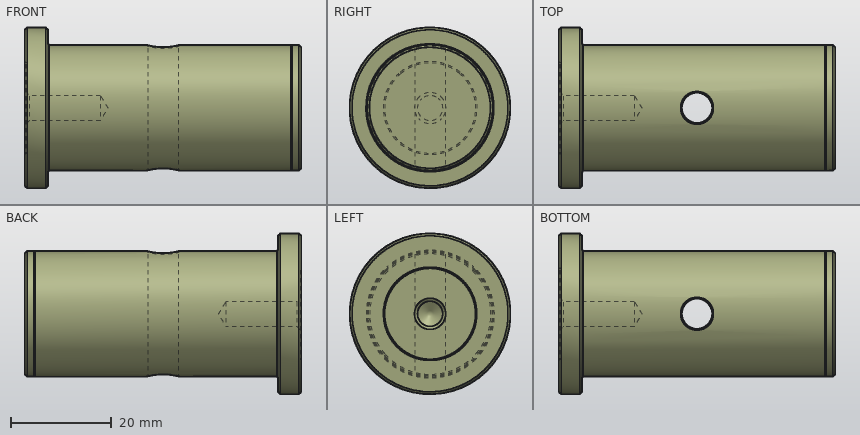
import cadquery as cq
import math

total_length = 55.0
flange_diameter = 32.0
flange_thickness = 4.7
shank_diameter = 25.0
edge_chamfer = 0.5

corner_size = 0.2

groove_start = 52.9
groove_width = 0.3
groove_depth = 0.2

recess_diameter = 18.6
recess_depth = 0.3

axial_hole_diameter = 5.0
axial_hole_depth = 15.0
axial_mouth_diameter = 6.2
drill_point_angle = 118

cross_hole_diameter = 6.0
cross_hole_chamfer = 0.3
cross_hole_position = total_length / 2


def disc(diameter, start, length):
    """Cylinder on the X axis, beginning at X = start."""
    return cq.Workplane("YZ", origin=(start, 0, 0)).circle(diameter / 2).extrude(length)


def make_ring_groove():
    """V-shaped ring groove, deepest in the middle of its width."""
    half_width = groove_width / 2
    floor_diameter = shank_diameter - 2 * groove_depth
    middle = groove_start + half_width
    ring = disc(shank_diameter, groove_start, groove_width)
    for direction in (1, -1):
        core = cone((middle, 0, 0), (direction, 0, 0), floor_diameter, shank_diameter, half_width)
        ring = ring.cut(core)
    return ring


def cone(origin, direction, start_diameter, end_diameter, height):
    """Cone (frustum if both diameters are above zero) growing along direction."""
    solid = cq.Solid.makeCone(
        start_diameter / 2, end_diameter / 2, height, cq.Vector(*origin), cq.Vector(*direction)
    )
    return cq.Workplane(solid)


def make_body():
    """Flange and shank with bevelled edges and a bevelled inside corner."""
    flange = disc(flange_diameter, 0, flange_thickness).edges().chamfer(edge_chamfer)
    shank = disc(shank_diameter, 0, total_length).faces(">X").edges().chamfer(edge_chamfer)
    corner = cone(
        (flange_thickness, 0, 0), (1, 0, 0), shank_diameter + 2 * corner_size, shank_diameter, corner_size
    )
    return flange.union(shank).union(corner)


def make_face_recess():
    """Shallow recess whose rim slopes inward at 45 degrees."""
    floor_diameter = recess_diameter - 2 * recess_depth
    return cone((0, 0, 0), (1, 0, 0), recess_diameter, floor_diameter, recess_depth)


def make_axial_hole():
    """Drilled hole with a conical bottom and a chamfered mouth on the recess floor."""
    mouth_depth = (axial_mouth_diameter - axial_hole_diameter) / 2
    point_height = axial_hole_diameter / 2 / math.tan(math.radians(drill_point_angle / 2))
    bore = disc(axial_hole_diameter, 0, axial_hole_depth)
    mouth = cone((recess_depth, 0, 0), (1, 0, 0), axial_mouth_diameter, axial_hole_diameter, mouth_depth)
    point = cone((axial_hole_depth, 0, 0), (1, 0, 0), axial_hole_diameter, 0, point_height)
    return bore.union(mouth).union(point)


def drill_cross_hole(body):
    """Vertical through hole with its rim broken on both sides of the shank."""
    hole = (
        cq.Workplane("XY", origin=(cross_hole_position, 0, -shank_diameter / 2))
        .circle(cross_hole_diameter / 2)
        .extrude(shank_diameter)
    )
    reach = cross_hole_diameter / 2 + cross_hole_chamfer
    rim_zone = cq.selectors.BoxSelector(
        (cross_hole_position - reach, -reach, -shank_diameter),
        (cross_hole_position + reach, reach, shank_diameter),
        boundingbox=True,
    )
    return body.cut(hole).edges(rim_zone).edges("not %LINE").chamfer(cross_hole_chamfer)


body = (
    make_body()
    .cut(make_ring_groove())
    .cut(make_face_recess())
    .cut(make_axial_hole())
)
result = drill_cross_hole(body)